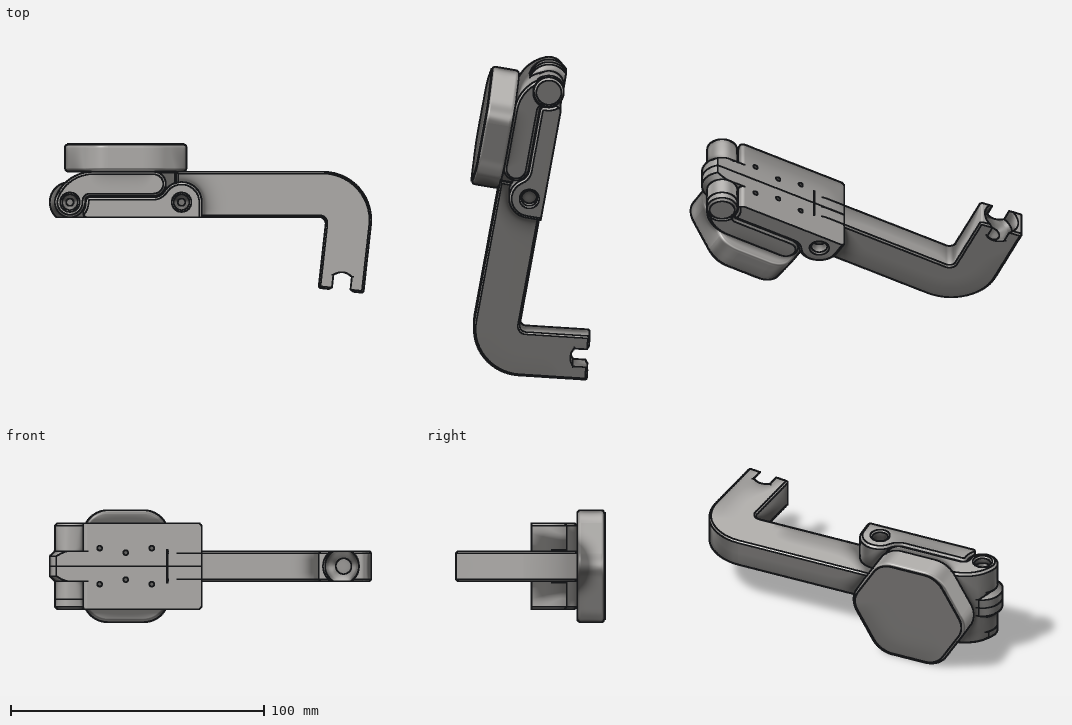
import cadquery as cq
import math


CLEARANCE = 0.5
FACE_GAP = 0.4
HALF_HEIGHT = 17.0
WEB_HALF = 6.0
HINGE_SPACING = 44.0
FRONT_Y = -6.0
BACK_Y = 12.0
CHAMFER = 1.0
PIN_DIAMETER = 6.2
BORE_MOUTH_DIAMETER = 7.7

LEVER_HUB_RADIUS = 6.0
LEVER_FRONT_Y = 2.4
LEVER_BACK_START_X = 9.0
LEVER_INNER_FILLET = 2.0
TONGUE_HALF = 6.0
TONGUE_BACK_Y = 11.7
TONGUE_FRONT_Y = 5.8
TONGUE_END_X = HINGE_SPACING - 2.7
LEVER_TIP_RADIUS = (BACK_Y - LEVER_FRONT_Y) / 2

BASE_HUB_RADIUS = 8.0
LOBE_RADIUS = 8.0
LOBE_CHAMFER = 2.0
BASE_FRONT_FILLET = 1.8
BASE_TOP_Y = LEVER_FRONT_Y - FACE_GAP
BASE_END_X = HINGE_SPACING + BASE_HUB_RADIUS
FRONT_WALL = 0.1
SLIT_X = HINGE_SPACING - 5.6
SLIT_WIDTH = 0.4
CAVITY_HALF = WEB_HALF + CLEARANCE
SMALL_HOLE_DIAMETER = 1.9
SMALL_HOLE_DEPTH = 2.5
SMALL_HOLE_SPREAD = 10.3
SMALL_HOLE_SIDE_Z = 7.1
SMALL_HOLE_MIDDLE_Z = 5.3

ARM_FRONT_Y = FRONT_Y + FRONT_WALL
ARM_WIDTH = BACK_Y - ARM_FRONT_Y
ARM_START_X = TONGUE_END_X + CLEARANCE
ARM_END_X = 118.9
ARM_CHAMFER = 0.8
BEND_RADIUS = 19.0
BEND_INNER_FILLET = 2.5
LEG_TILT = math.radians(6.3)
LEG_LENGTH = 26.9
LEG_END_FILLET = 1.0
SOCKET_MOUTH_DIAMETER = 14.3
SOCKET_DIAMETER = 14.0
SOCKET_MOUTH_DEPTH = 1.0
SOCKET_DEPTH = 5.8
SOCKET_STEP_DIAMETER = 11.7
SOCKET_STEP_DEPTH = 7.4
SOCKET_FLOOR_DIAMETER = 6.2
SOCKET_FLOOR_DEPTH = 9.5

KNOB_THICKNESS = 11.0
KNOB_ACROSS_FLATS = 44.3
KNOB_CORNER_RADIUS = 10.0
KNOB_FRONT_FILLET = 1.5
KNOB_BACK_FILLET = 1.1
KNOB_BACK_STEP = 0.4

PIN_SOCKET_FLOOR = 2.9
PIN_SOCKET_DEPTH = 1.6
LEVER_PIN_TOP_Z = 14.0
LEVER_PIN_HEAD_Z = -13.1
ARM_PIN_HALF = 12.0


def point_between(center, start, end):
    """Middle point of the arc shorter than half a turn from start to end about center."""
    dx = start[0] + end[0] - 2 * center[0]
    dy = start[1] + end[1] - 2 * center[1]
    scale = math.dist(center, start) / math.hypot(dx, dy)
    return (center[0] + dx * scale, center[1] + dy * scale)


def point_toward(center, target, distance):
    """Point at a distance from center in the direction of target."""
    scale = distance / math.dist(center, target)
    return (center[0] + (target[0] - center[0]) * scale, center[1] + (target[1] - center[1]) * scale)


def arc(outline, center, start, end):
    """Continue an outline from start to end on a circle about center."""
    return outline.threePointArc(point_between(center, start, end), end)


def box(x_min, x_max, y_min, y_max, z_min, z_max):
    return cq.Workplane("XY").box(
        x_max - x_min, y_max - y_min, z_max - z_min, centered=False
    ).translate((x_min, y_min, z_min))


def cylinder(x, radius, z_min, z_max):
    return cq.Workplane("XY", origin=(x, 0, z_min)).circle(radius).extrude(z_max - z_min)


def countersink(x):
    """Cone that breaks the upper rim of a pin bore."""
    rim_width = (BORE_MOUTH_DIAMETER - PIN_DIAMETER) / 2
    return cq.Workplane("XY").add(
        cq.Solid.makeCone(
            PIN_DIAMETER / 2, BORE_MOUTH_DIAMETER / 2, rim_width, pnt=cq.Vector(x, 0, HALF_HEIGHT - rim_width)
        )
    )


HINGE = (0, 0)
ARM_HINGE = (HINGE_SPACING, 0)
TIP_Y = (BACK_Y + LEVER_FRONT_Y) / 2
TIP_DISTANCE = BASE_HUB_RADIUS + FACE_GAP + LEVER_TIP_RADIUS
TIP = (HINGE_SPACING - math.sqrt(TIP_DISTANCE**2 - TIP_Y**2), TIP_Y)

INNER_FILLET_Y = LEVER_FRONT_Y - LEVER_INNER_FILLET
INNER_FILLET = (
    math.sqrt((LEVER_HUB_RADIUS + LEVER_INNER_FILLET) ** 2 - INNER_FILLET_Y**2),
    INNER_FILLET_Y,
)


def base_lobe():
    """Upper half of the rounded lobe between the lever hubs, flat at the front."""
    lobe = cylinder(0, LOBE_RADIUS, 0, WEB_HALF).faces(">Z").edges().chamfer(LOBE_CHAMFER)
    web = box(0, LOBE_RADIUS, FRONT_Y, BASE_TOP_Y, 0, WEB_HALF)
    return lobe.union(web).intersect(box(-LOBE_RADIUS, LOBE_RADIUS, FRONT_Y, LOBE_RADIUS, 0, WEB_HALF))


def lever_profile():
    back_radius = (LEVER_BACK_START_X**2 + BACK_Y**2 - LEVER_HUB_RADIUS**2) / (2 * (BACK_Y - LEVER_HUB_RADIUS))
    back_center = (LEVER_BACK_START_X, BACK_Y - back_radius)
    back_start = (LEVER_BACK_START_X, BACK_Y)
    hub_to_back = point_toward(back_center, HINGE, back_radius)
    hub_to_fillet = point_toward(HINGE, INNER_FILLET, LEVER_HUB_RADIUS)
    fillet_end = (INNER_FILLET[0], LEVER_FRONT_Y)

    outline = cq.Workplane("XY", origin=(0, 0, -HALF_HEIGHT)).moveTo(*back_start)
    outline = outline.lineTo(TIP[0], BACK_Y)
    outline = outline.threePointArc((TIP[0] + LEVER_TIP_RADIUS, TIP_Y), (TIP[0], LEVER_FRONT_Y))
    outline = outline.lineTo(*fillet_end)
    outline = arc(outline, INNER_FILLET, fillet_end, hub_to_fillet)
    outline = outline.threePointArc((0, -LEVER_HUB_RADIUS), hub_to_back)
    outline = arc(outline, back_center, hub_to_back, back_start)
    return outline.close()


def make_lever():
    lever = lever_profile().extrude(2 * HALF_HEIGHT).faces("|Z").edges().chamfer(CHAMFER)
    lever = lever.union(box(TIP[0], TONGUE_END_X, TONGUE_FRONT_Y, TONGUE_BACK_Y, -TONGUE_HALF, TONGUE_HALF))
    slot_half = base_lobe()
    lever = lever.cut(slot_half).cut(slot_half.mirror("XY"))
    lever = lever.cut(cylinder(0, PIN_DIAMETER / 2, -HALF_HEIGHT, HALF_HEIGHT)).cut(countersink(0))
    head_recess_radius = LEVER_HUB_RADIUS + CLEARANCE / 2
    return lever.cut(cylinder(0, head_recess_radius, -HALF_HEIGHT, LEVER_PIN_HEAD_Z))


HOLLOW_RADIUS = LEVER_HUB_RADIUS + FACE_GAP


def close_base_outline(outline, hollow_start):
    """Continue a base outline around the lever hub, the lever tip and the arm hinge, and close it."""
    hollow_end = point_toward(HINGE, INNER_FILLET, HOLLOW_RADIUS)
    top_start = (INNER_FILLET[0], BASE_TOP_Y)
    top_end = (TIP[0], BASE_TOP_Y)
    hub_start = point_toward(ARM_HINGE, TIP, BASE_HUB_RADIUS)
    hub_end = (BASE_END_X, 0)
    outline = arc(outline, HINGE, hollow_start, hollow_end)
    outline = arc(outline, INNER_FILLET, hollow_end, top_start)
    outline = outline.lineTo(*top_end)
    outline = arc(outline, TIP, top_end, hub_start)
    outline = arc(outline, ARM_HINGE, hub_start, hub_end)
    return outline.close()


def base_block():
    """Upper half of the base block; its rim is chamfered everywhere except along the front."""
    fillet_y = FRONT_Y + BASE_FRONT_FILLET
    fillet = (math.sqrt((HOLLOW_RADIUS + BASE_FRONT_FILLET) ** 2 - fillet_y**2), fillet_y)
    front_start = (fillet[0], FRONT_Y)
    hollow_start = point_toward(HINGE, fillet, HOLLOW_RADIUS)
    outline = cq.Workplane("XY").moveTo(BASE_END_X, FRONT_Y).lineTo(*front_start)
    outline = arc(outline, fillet, front_start, hollow_start)
    block = close_base_outline(outline, hollow_start).extrude(HALF_HEIGHT)

    beyond_y = -HOLLOW_RADIUS - 2 * CHAMFER
    outline = cq.Workplane("XY").moveTo(BASE_END_X, beyond_y).lineTo(0, beyond_y).lineTo(0, -HOLLOW_RADIUS)
    chamfered = close_base_outline(outline, (0, -HOLLOW_RADIUS)).extrude(HALF_HEIGHT)
    return block.intersect(chamfered.faces(">Z").edges().chamfer(CHAMFER))


def tongue_room():
    """Upper half of the room behind the base for the lever tongue, and of the slit in the front."""
    room = box(TIP[0], BASE_END_X, BASE_TOP_Y, BACK_Y, 0, CAVITY_HALF)
    slit = box(SLIT_X - SLIT_WIDTH / 2, SLIT_X + SLIT_WIDTH / 2, FRONT_Y, 0, 0, CAVITY_HALF)
    return room.union(slit)


def small_front_holes():
    """Blind holes in the front face, spread about the middle between the hinges."""
    middle = HINGE_SPACING / 2
    places = [
        (middle - SMALL_HOLE_SPREAD, SMALL_HOLE_SIDE_Z),
        (middle, SMALL_HOLE_MIDDLE_Z),
        (middle + SMALL_HOLE_SPREAD, SMALL_HOLE_SIDE_Z),
    ]
    face = cq.Workplane("XZ", origin=(0, FRONT_Y, 0))
    return face.pushPoints(places).circle(SMALL_HOLE_DIAMETER / 2).extrude(-SMALL_HOLE_DEPTH)


BEND_CENTER = (ARM_END_X - BEND_RADIUS, BACK_Y - BEND_RADIUS)
LEG_ACROSS = (math.cos(LEG_TILT), -math.sin(LEG_TILT))
LEG_ALONG = (-math.sin(LEG_TILT), -math.cos(LEG_TILT))


def leg_point(across, along):
    """Point given by its distances from the bend center, across and along the leg."""
    return (
        BEND_CENTER[0] + across * LEG_ACROSS[0] + along * LEG_ALONG[0],
        BEND_CENTER[1] + across * LEG_ACROSS[1] + along * LEG_ALONG[1],
    )


def arm_profile():
    eye_radius = -ARM_FRONT_Y
    leg_inside = BEND_RADIUS - ARM_WIDTH
    corner_y = BEND_CENTER[1] + leg_inside * LEG_ACROSS[1]
    corner_along = (ARM_FRONT_Y - corner_y) / LEG_ALONG[1]
    eye_start = (HINGE_SPACING, ARM_FRONT_Y)
    eye_offset = ARM_START_X - HINGE_SPACING
    eye_end = (ARM_START_X, math.sqrt(eye_radius**2 - eye_offset**2))
    bend_start = (BEND_CENTER[0], BACK_Y)
    bend_end = leg_point(BEND_RADIUS, 0)

    outline = cq.Workplane("XY", origin=(0, 0, -WEB_HALF)).moveTo(*eye_end)
    outline = outline.lineTo(ARM_START_X, BACK_Y).lineTo(*bend_start)
    outline = arc(outline, BEND_CENTER, bend_start, bend_end)
    outline = outline.lineTo(*leg_point(BEND_RADIUS, LEG_LENGTH))
    outline = outline.lineTo(*leg_point(leg_inside, LEG_LENGTH))
    outline = outline.lineTo(*leg_point(leg_inside, corner_along))
    outline = outline.lineTo(*eye_start)
    outline = outline.threePointArc((HINGE_SPACING - eye_radius, 0), eye_end)
    return outline.close()


def leg_edge(across, along):
    """Selector of the upright edge at a leg point."""
    x, y = leg_point(across, along)
    return cq.selectors.NearestToPointSelector((x, y, 0))


def leg_socket():
    """Stepped round socket that enters the end of the leg along its middle."""
    radii_and_depths = [
        (SOCKET_MOUTH_DIAMETER / 2, 0),
        (SOCKET_DIAMETER / 2, SOCKET_MOUTH_DEPTH),
        (SOCKET_DIAMETER / 2, SOCKET_DEPTH),
        (SOCKET_STEP_DIAMETER / 2, SOCKET_STEP_DEPTH),
        (SOCKET_FLOOR_DIAMETER / 2, SOCKET_FLOOR_DEPTH),
    ]
    mouth = leg_point(BEND_RADIUS - ARM_WIDTH / 2, LEG_LENGTH)
    plane = cq.Plane(
        origin=(mouth[0], mouth[1], 0),
        xDir=(LEG_ACROSS[0], LEG_ACROSS[1], 0),
        normal=(0, 0, 1),
    )
    outline = [(0, 0)] + radii_and_depths + [(0, SOCKET_FLOOR_DEPTH)]
    return cq.Workplane(plane).polyline(outline).close().revolve(360, (0, 0), (0, 1))


def make_arm_blank():
    """Arm before its holes; the base has a recess of the same shape."""
    arm = arm_profile().extrude(2 * WEB_HALF)
    leg_inside = BEND_RADIUS - ARM_WIDTH
    for across in (BEND_RADIUS, leg_inside):
        arm = arm.edges("|Z").edges(leg_edge(across, LEG_LENGTH)).fillet(LEG_END_FILLET)
    arm = arm.edges("|Z").edges(leg_edge(leg_inside, 0)).fillet(BEND_INNER_FILLET)
    return arm.faces("|Z").edges().chamfer(ARM_CHAMFER)


ARM_BLANK = make_arm_blank()


def make_arm():
    arm = ARM_BLANK.cut(leg_socket())
    return arm.cut(cylinder(HINGE_SPACING, PIN_DIAMETER / 2, -WEB_HALF, WEB_HALF))


def make_base_half(upper):
    """Upper half of the base, or its mirror image below."""
    half = base_block().union(base_lobe())
    half = half.cut(tongue_room()).cut(ARM_BLANK).cut(small_front_holes())
    for hinge_x in (0, HINGE_SPACING):
        half = half.cut(cylinder(hinge_x, PIN_DIAMETER / 2, 0, HALF_HEIGHT))
    half = half.cut(countersink(HINGE_SPACING))
    return half if upper else half.mirror("XY")


def make_knob():
    """Hexagonal knob with rounded corners, centered between the hinges."""
    across_corners = KNOB_ACROSS_FLATS / math.cos(math.pi / 6)
    back = cq.Workplane("XZ", origin=(HINGE_SPACING / 2, BACK_Y, 0))
    knob = back.polygon(6, across_corners).extrude(KNOB_BACK_STEP - KNOB_THICKNESS)
    knob = knob.edges("|Y").fillet(KNOB_CORNER_RADIUS)
    knob = knob.faces("<Y").edges().fillet(KNOB_FRONT_FILLET)
    knob = knob.faces(">Y").edges().fillet(KNOB_BACK_FILLET)
    return knob.faces(">Y").wires().toPending().workplane().extrude(KNOB_BACK_STEP)


def pin_socket(x, top_z):
    """Tapered recess in the upper end of a pin."""
    return cq.Workplane("XY").add(
        cq.Solid.makeCone(
            PIN_SOCKET_FLOOR / 2, PIN_DIAMETER / 2, PIN_SOCKET_DEPTH, pnt=cq.Vector(x, 0, top_z - PIN_SOCKET_DEPTH)
        )
    )


def make_lever_pin():
    shank = cylinder(0, PIN_DIAMETER / 2, LEVER_PIN_HEAD_Z, LEVER_PIN_TOP_Z)
    head = cylinder(0, LEVER_HUB_RADIUS, -HALF_HEIGHT, LEVER_PIN_HEAD_Z).faces("<Z").edges().chamfer(CHAMFER)
    return shank.union(head).cut(pin_socket(0, LEVER_PIN_TOP_Z))


def make_arm_pin():
    pin = cylinder(HINGE_SPACING, PIN_DIAMETER / 2, -ARM_PIN_HALF, ARM_PIN_HALF)
    return pin.cut(pin_socket(HINGE_SPACING, ARM_PIN_HALF))


lever = make_lever()
base_halves = [make_base_half(upper) for upper in (True, False)]
arm = make_arm()
knob = make_knob()
lever_pin = make_lever_pin()
arm_pin = make_arm_pin()

result = cq.Compound.makeCompound(
    [
        lever.val(),
        *[half.val() for half in base_halves],
        arm.val(),
        knob.val(),
        lever_pin.val(),
        arm_pin.val(),
    ]
)